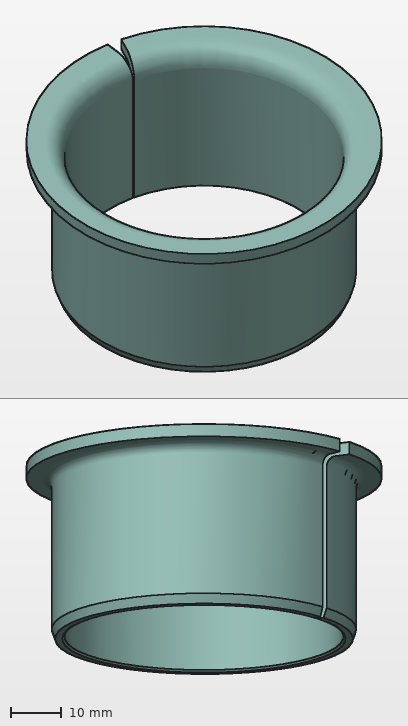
import cadquery as cq
import math

flange_diameter = 70.0
body_diameter = 60.0
height = 35.0
wall = 2.5
outer_bend_radius = 1.95
chamfer_height = 1.9
chamfer_angle = 20.0
inner_chamfer = 0.4
split_bore_width = 0.35
split_outer_width = 3.1
split_overrun = 0.7

flange_radius = flange_diameter / 2
body_radius = body_diameter / 2
bore_radius = body_radius - wall
inner_bend_radius = outer_bend_radius + wall
bend_center_x = body_radius + outer_bend_radius
bend_center_z = height - inner_bend_radius
chamfer_width = chamfer_height * math.tan(math.radians(chamfer_angle))


def bend_midpoint(radius):
    """Middle of the quarter arc that turns the sleeve into the flange."""
    offset = radius * math.sqrt(0.5)
    return (bend_center_x - offset, bend_center_z + offset)


def flanged_sleeve():
    """Constant-wall sleeve bent outward into a flange, chamfered at its lower end."""
    profile = (
        cq.Workplane("XZ")
        .moveTo(bore_radius + inner_chamfer, 0)
        .lineTo(body_radius - chamfer_width, 0)
        .lineTo(body_radius, chamfer_height)
        .lineTo(body_radius, bend_center_z)
        .threePointArc(bend_midpoint(outer_bend_radius), (bend_center_x, height - wall))
        .lineTo(flange_radius, height - wall)
        .lineTo(flange_radius, height)
        .lineTo(bend_center_x, height)
        .threePointArc(bend_midpoint(inner_bend_radius), (bore_radius, bend_center_z))
        .lineTo(bore_radius, inner_chamfer)
        .close()
    )
    sleeve = profile.revolve(360, (0, 0, 0), (0, 1, 0))
    return sleeve.rotate((0, 0, 0), (0, 0, 1), 180)


def split():
    """Full-height wedge gap on the -X side, narrowest at the bore, widest at the rim."""
    slope = (split_outer_width - split_bore_width) / (flange_radius - bore_radius)
    inner_x = bore_radius - split_overrun
    outer_x = flange_radius + split_overrun
    bore_half = split_bore_width / 2
    outer_half = (split_outer_width + slope * split_overrun) / 2
    return (
        cq.Workplane("XY")
        .polyline([
            (-inner_x, -bore_half),
            (-bore_radius, -bore_half),
            (-outer_x, -outer_half),
            (-outer_x, outer_half),
            (-bore_radius, bore_half),
            (-inner_x, bore_half),
        ])
        .close()
        .extrude(height)
    )


result = flanged_sleeve().cut(split())